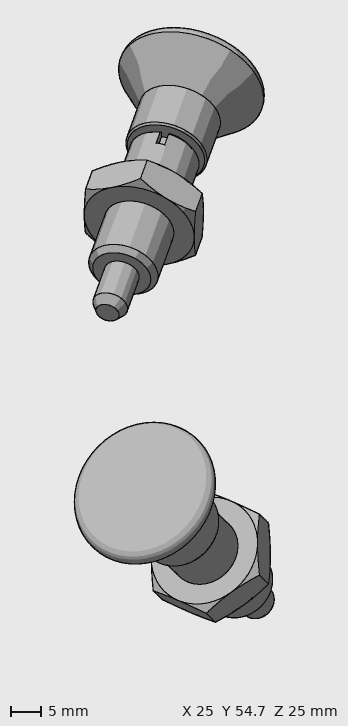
import cadquery as cq
import math

length = 54.7
pin_chamfer_length = 1.7
body_start = 9.0
nut_start = 20.0
nut_thickness = 5.9
grip_start = 36.9
flare_start = 45.75
rim_start = 52.8

pin_diameter = 6
pin_tip_diameter = 4.0
body_diameter = 12.0
grip_diameter = 14.0
knob_diameter = 25.0

body_chamfer = 1.0
grip_chamfer = 0.35
rim_radius = 1.6

nut_across_flats = 19.0
nut_chamfer_angle = 30

slot_width = 1.5
slot_length = 3.45
slot_depth = 2.2


def cylinder_y(diameter, start, end):
    """Solid cylinder on the Y axis between two stations."""
    base = cq.Workplane("XZ", origin=(0, start, 0))
    return base.circle(diameter / 2).extrude(start - end)


def make_pin():
    tip_radius = pin_tip_diameter / 2
    radius = pin_diameter / 2
    return (
        cq.Workplane("XY")
        .lineTo(tip_radius, 0)
        .lineTo(radius, pin_chamfer_length)
        .lineTo(radius, body_start)
        .lineTo(0, body_start)
        .close()
        .revolve(360, (0, 0, 0), (0, 1, 0))
    )


def make_body():
    """Sleeve chamfered at both ends, with a slot opening toward the grip."""
    body = cylinder_y(body_diameter, body_start, grip_start).faces("<Y or >Y").chamfer(body_chamfer)
    slot = (
        cq.Workplane("XY")
        .box(slot_width, slot_length, slot_depth, centered=(True, False, False))
        .translate((0, grip_start - slot_length, body_diameter / 2 - slot_depth))
    )
    return body.cut(slot)


def make_nut():
    """Hexagon with corners on Z, its corners bevelled by a cone at both ends."""
    corner_radius = nut_across_flats / math.sqrt(3)
    bevel_depth = (corner_radius - nut_across_flats / 2) * math.tan(math.radians(nut_chamfer_angle))
    hexagon = (
        cq.Workplane("XZ", origin=(0, nut_start, 0))
        .transformed(rotate=(0, 0, 90))
        .polygon(6, 2 * corner_radius)
        .extrude(-nut_thickness)
    )
    bevel = (
        cylinder_y(2 * corner_radius, nut_start, nut_start + nut_thickness)
        .faces("<Y or >Y")
        .chamfer(bevel_depth, corner_radius - nut_across_flats / 2)
    )
    return hexagon.intersect(bevel)


def make_knob():
    """Cylindrical grip flaring out to a rounded rim."""
    grip_radius = grip_diameter / 2
    knob_radius = knob_diameter / 2
    return (
        cq.Workplane("XY")
        .moveTo(0, grip_start)
        .lineTo(grip_radius - grip_chamfer, grip_start)
        .lineTo(grip_radius, grip_start + grip_chamfer)
        .lineTo(grip_radius, flare_start)
        .lineTo(knob_radius, rim_start)
        .lineTo(knob_radius, length - rim_radius)
        .radiusArc((knob_radius - rim_radius, length), -rim_radius)
        .lineTo(0, length)
        .close()
        .revolve(360, (0, 0, 0), (0, 1, 0))
    )


result = make_pin().union(make_body()).union(make_nut()).union(make_knob())